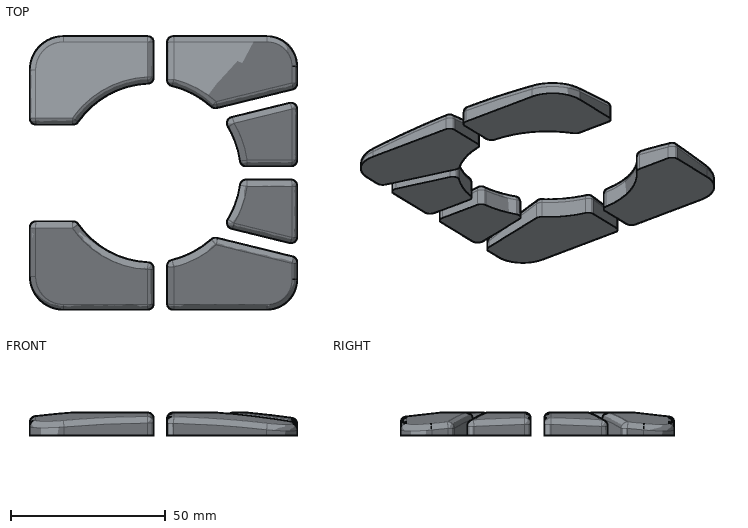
import cadquery as cq
import math

left_x = -42.2
right_x = 44.2
half_depth = 44.2
left_corner_radius = 11.0
right_corner_radius = 10.0

ring_x = -2.9
ring_radius = 28.8
dome_radius = 325.0
dome_apex_z = 8.96

straight_gap = 4.2
sloping_gap = 3.9
left_pad_y = 15.55
cut_angle = 13.8
cut_y = 14.42

edge_radius = 2.1
blank_height = 12.0
tolerance = 0.01

half_gap = straight_gap / 2
cut_slope = math.tan(math.radians(cut_angle))
cut_half_rise = sloping_gap / 2 / math.cos(math.radians(cut_angle))


def ring_point_at_x(x):
    """Point of the opening's upper half at the given X."""
    return x, math.sqrt(ring_radius**2 - (x - ring_x) ** 2)


def ring_point_at_y(y, side):
    """Point of the opening at the given Y, left (side -1) or right (side 1) of its axis."""
    return ring_x + side * math.sqrt(ring_radius**2 - y**2), y


def ring_point_on_cut(cut_height):
    """Right-hand point where the sloping line y = cut_height + cut_slope * x meets the opening."""
    a = 1 + cut_slope**2
    b = cut_slope * cut_height - ring_x
    c = ring_x**2 + cut_height**2 - ring_radius**2
    x = (-b + math.sqrt(b**2 - a * c)) / a
    return x, cut_height + cut_slope * x


def ring_midpoint(start, end):
    """Point of the opening halfway along the arc between two of its points."""
    angles = [math.atan2(y, x - ring_x) for x, y in (start, end)]
    middle = sum(angles) / 2
    return ring_x + ring_radius * math.cos(middle), ring_radius * math.sin(middle)


def vertical_edge_at(point):
    """Selector for the vertical edge that stands on the given outline point."""
    x, y = point
    return cq.selectors.BoxSelector(
        (x - tolerance, y - tolerance, 0),
        (x + tolerance, y + tolerance, blank_height),
    )


def make_pad(outer_points, ring_start, ring_end, big_corner=None, big_corner_radius=None):
    """Pad bounded by the opening's arc and a chain of straight edges, with a domed, rounded top."""
    outline = cq.Workplane("XY").moveTo(*ring_start)
    outline = outline.threePointArc(ring_midpoint(ring_start, ring_end), ring_end)
    for point in outer_points:
        outline = outline.lineTo(*point)
    pad = outline.close().extrude(blank_height)
    if big_corner:
        pad = pad.edges(vertical_edge_at(big_corner)).fillet(big_corner_radius)

    dome = cq.Workplane("XY").sphere(dome_radius)
    pad = pad.intersect(dome.translate((ring_x, 0, dome_apex_z - dome_radius)))

    rounded_edges = pad.faces("%SPHERE").edges()
    for point in [ring_start, ring_end, *outer_points]:
        if point != big_corner:
            rounded_edges = rounded_edges.add(pad.edges(vertical_edge_at(point)))
    return rounded_edges.fillet(edge_radius)


def left_pad():
    ring_start = ring_point_at_x(-half_gap)
    ring_end = ring_point_at_y(left_pad_y, -1)
    corner = (left_x, half_depth)
    outer_points = [(left_x, left_pad_y), corner, (-half_gap, half_depth)]
    return make_pad(outer_points, ring_start, ring_end, corner, left_corner_radius)


def right_pad():
    lower_edge = cut_y + cut_half_rise
    ring_start = ring_point_on_cut(lower_edge)
    ring_end = ring_point_at_x(half_gap)
    corner = (right_x, half_depth)
    outer_points = [(half_gap, half_depth), corner, (right_x, lower_edge + cut_slope * right_x)]
    return make_pad(outer_points, ring_start, ring_end, corner, right_corner_radius)


def small_pad():
    upper_edge = cut_y - cut_half_rise
    ring_start = ring_point_at_y(half_gap, 1)
    ring_end = ring_point_on_cut(upper_edge)
    outer_points = [(right_x, upper_edge + cut_slope * right_x), (right_x, half_gap)]
    return make_pad(outer_points, ring_start, ring_end)


bodies = []
for make_body in (left_pad, right_pad, small_pad):
    pad = make_body()
    bodies += [pad.val(), pad.mirror("XZ").val()]

result = cq.Compound.makeCompound(bodies)